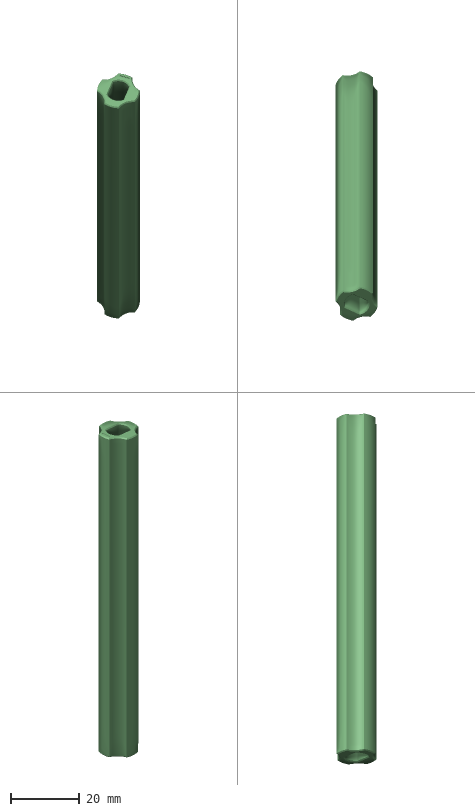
import cadquery as cq
import math

length = 106.2
outer_width = 12.4
half_width = outer_width / 2

tip_half_width = 2.2
tip_corner_reach = 5.8
flank_middle_radius = 5.0

bore_radius = 3.5
bore_flat_width = 5.0

edge_chamfer = 0.3

slot_length = 3.2
slot_width = 0.4
slot_depth = 0.2
slot_center_y = 5.0


def turned(x, y, quarter_turns):
    """Rotate a point about the origin by a number of quarter turns."""
    for _ in range(quarter_turns):
        x, y = -y, x
    return x, y


def lobed_bar():
    """Four convex tips joined by four concave flanks, extruded to full length."""
    flank_middle = flank_middle_radius * math.sqrt(0.5)
    base = cq.Workplane("XY", origin=(0, 0, -length / 2))
    outline = base.moveTo(tip_corner_reach, -tip_half_width)
    for quarter in range(4):
        outline = outline.threePointArc(
            turned(half_width, 0, quarter),
            turned(tip_corner_reach, tip_half_width, quarter),
        )
        outline = outline.threePointArc(
            turned(flank_middle, flank_middle, quarter),
            turned(tip_half_width, tip_corner_reach, quarter),
        )
    return outline.close().extrude(length)


def double_d_bore():
    """Round bore with two flats facing along X."""
    cylinder = cq.Workplane("XY").cylinder(length, bore_radius)
    flats = cq.Workplane("XY").box(bore_flat_width, 2 * bore_radius, length)
    return cylinder.intersect(flats)


def index_slot():
    """Shallow slot sunk into the top face."""
    return (
        cq.Workplane("XY", origin=(0, slot_center_y, length / 2 - slot_depth))
        .rect(slot_length, slot_width)
        .extrude(slot_depth)
    )


bar = lobed_bar().cut(double_d_bore())
chamfered_bar = bar.faces("<Z or >Z").chamfer(edge_chamfer)
result = chamfered_bar.cut(index_slot())